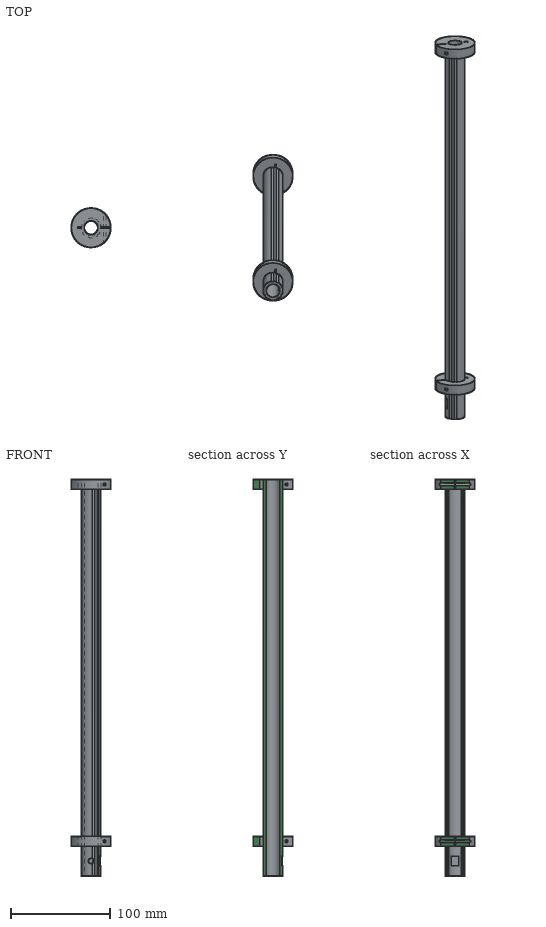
import cadquery as cq
import math

length = 400.0
tube_diameter = 20.0
tube_radius = tube_diameter / 2
bore_diameter = 13.5

collar_diameter = 40.0
collar_height = 10.0
collar_bottoms = (30.0, length - collar_height)
slit_width = 1.0
relief_length = 3.0
screw_x = 13.5
screw_diameter = 2.5

groove_width = 2.6
groove_depth = 0.5
groove_pair_count = 3
first_pair_angle = 180.0
groove_half_spread = 15.0

pin_z = 15.0
pin_hole_diameter = 5.0
flat_height = 9.5
flat_x = 9.0


def make_collar(bottom):
    """Ring around the tube, slit on +X, relieved on -X, with a clamp screw hole along Y."""
    plane = cq.Workplane("XY").workplane(offset=bottom)
    collar = plane.circle(collar_diameter / 2).extrude(collar_height)
    slit_length = collar_diameter / 2 - tube_radius
    slit = plane.center(tube_radius + slit_length / 2, 0).rect(slit_length, slit_width).extrude(collar_height)
    relief = (
        cq.Workplane("XY", origin=(-tube_radius - relief_length / 2, 0, bottom))
        .rect(relief_length, slit_width)
        .extrude(collar_height)
    )
    screw_hole = (
        cq.Workplane("XZ", origin=(screw_x, 0, bottom + collar_height / 2))
        .circle(screw_diameter / 2)
        .extrude(collar_diameter / 2, both=True)
    )
    return collar.cut(slit).cut(relief).cut(screw_hole)


def make_groove(angle):
    """Full-length round cutter whose width and depth are measured at the tube surface."""
    half_width = groove_width / 2
    chord_distance = math.sqrt(tube_radius**2 - half_width**2)
    floor_distance = tube_radius - groove_depth
    sagitta = chord_distance - floor_distance
    cutter_radius = (half_width**2 + sagitta**2) / (2 * sagitta)
    center_distance = floor_distance + cutter_radius
    cutter = cq.Workplane("XY").center(center_distance, 0).circle(cutter_radius).extrude(length)
    return cutter.rotate((0, 0, 0), (0, 0, 1), angle)


result = cq.Workplane("XY").circle(tube_radius).extrude(length)
for pair in range(groove_pair_count):
    pair_angle = first_pair_angle + pair * 360 / groove_pair_count
    for side in (-1, 1):
        result = result.cut(make_groove(pair_angle + side * groove_half_spread))

pin_hole = cq.Workplane("XZ", origin=(0, 0, pin_z)).circle(pin_hole_diameter / 2).extrude(tube_diameter)
result = result.cut(pin_hole)

flat_cutter = (
    cq.Workplane("YZ", origin=(flat_x, 0, pin_z))
    .rect(tube_diameter, flat_height)
    .extrude(tube_radius - flat_x)
)
result = result.cut(flat_cutter)

for collar_bottom in collar_bottoms:
    result = result.union(make_collar(collar_bottom))
result = result.cut(cq.Workplane("XY").circle(bore_diameter / 2).extrude(length))